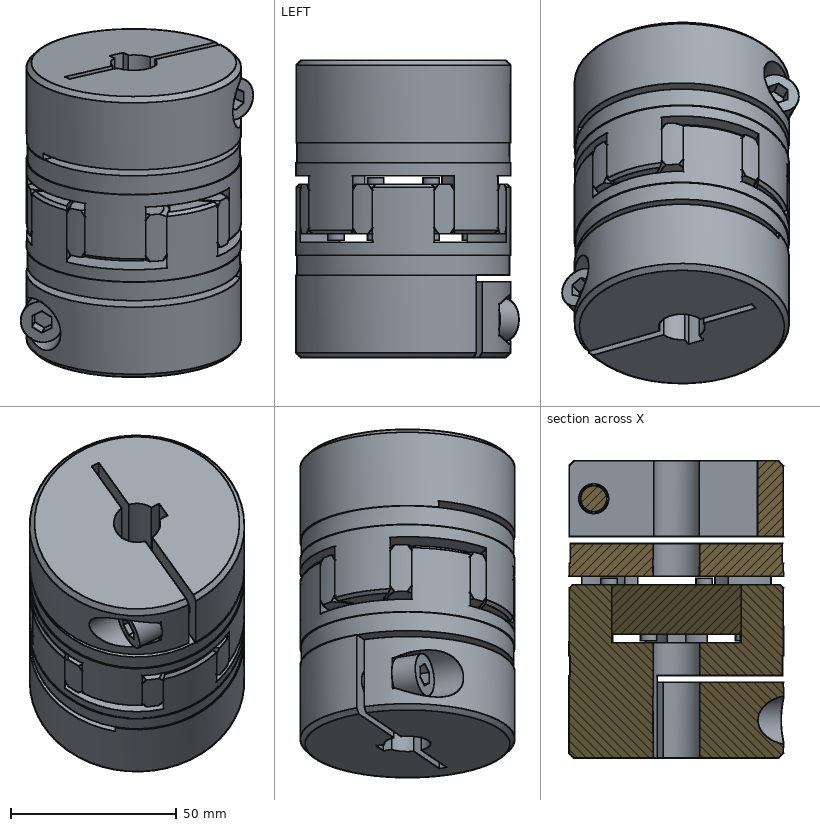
import cadquery as cq
import math


coupling_length = 90.0
outer_diameter = 65.0
waist_diameter = 64.4
bore_diameter = 14.0
end_chamfer = 1.5

clamp_length = 25.0
waist_end = 31.0
hub_body_length = 35.0

jaw_count = 4
jaw_length = 17.5
jaw_inner_diameter = 39.0
jaw_tip_chamfer = 1.0
jaw_hollow_radius = 15.6
jaw_hollow_offset = 26.0

slot_width = 2.5
slot_reach = 24.5
slit_height = 2.0
key_width = 5.0
key_depth = 9.3

screw_offset = 25.0
screw_diameter = 8.0
clearance_diameter = 9.0
head_diameter = 13.0
head_height = 8.0
head_seat = 10.0
counterbore_diameter = 15.0
socket_width = 6.0
socket_depth = 4.6

nub_diameter = 5.0
nub_height = 2.0
nub_offset = 22.0
leg_chamfer_height = 1.8
leg_chamfer_width = 1.0

outer_radius = outer_diameter / 2
middle_height = coupling_length / 2
body_face = coupling_length - hub_body_length
jaw_tip = body_face - jaw_length
slit_floor = coupling_length - clamp_length
screw_height = coupling_length - (clamp_length - slit_height) / 2
leg_count = 2 * jaw_count
leg_pitch = 360 / leg_count
spider_thickness = 2 * (middle_height - jaw_tip)


def cylinder(diameter, bottom, height):
    return cq.Workplane("XY").workplane(offset=bottom).circle(diameter / 2).extrude(height)


def block(x_range, y_range, z_range):
    (x0, x1), (y0, y1), (z0, z1) = x_range, y_range, z_range
    corner = cq.Workplane("XY").transformed(offset=(x0, y0, z0))
    return corner.box(x1 - x0, y1 - y0, z1 - z0, centered=False)


def screw_cylinder(diameter, start, length):
    """Cylinder on the clamp screw's axis, which runs parallel to X."""
    plane = cq.Workplane("YZ", origin=(start, screw_offset, screw_height))
    return plane.circle(diameter / 2).extrude(length)


def hub_body():
    clamp = cylinder(outer_diameter, slit_floor, clamp_length).faces(">Z").chamfer(end_chamfer)
    waist = cylinder(waist_diameter, coupling_length - waist_end, waist_end - clamp_length)
    flange = cylinder(outer_diameter, body_face, hub_body_length - waist_end)
    return clamp.union(waist).union(flange)


def jaw_outlines(bottom, height):
    """Four plain jaws with hollow flanks, centred midway between the X and Y axes."""
    ring = cylinder(outer_diameter, bottom, height).cut(cylinder(jaw_inner_diameter, bottom, height))
    hollows = (
        cq.Workplane("XY")
        .workplane(offset=bottom)
        .polarArray(jaw_hollow_offset, 0, 360, jaw_count)
        .circle(jaw_hollow_radius)
        .extrude(height)
    )
    return ring.cut(hollows)


def jaws():
    """Jaws hanging below the flange, bevelled round the outside of their tips."""
    envelope = cylinder(outer_diameter, jaw_tip, jaw_length).faces("<Z").chamfer(jaw_tip_chamfer)
    return jaw_outlines(jaw_tip, jaw_length).intersect(envelope)


def bore_and_keyway():
    bore = cylinder(bore_diameter, body_face, hub_body_length)
    keyway = block((-key_depth, 0), (-key_width / 2, key_width / 2), (body_face, coupling_length))
    return bore.union(keyway)


def clamp_slots():
    """Axial slot through the bore and a cross slit that frees the +X half of the clamp."""
    axial_slot = block(
        (-slot_width / 2, slot_width / 2), (-slot_reach, outer_radius), (slit_floor, coupling_length)
    )
    cross_slit = block(
        (-slot_width / 2, outer_radius),
        (-outer_radius, outer_radius),
        (slit_floor, slit_floor + slit_height),
    )
    return axial_slot.union(cross_slit)


def screw_hole():
    clearance = screw_cylinder(clearance_diameter, 0, head_seat)
    counterbore = screw_cylinder(counterbore_diameter, head_seat, outer_radius - head_seat)
    return clearance.union(counterbore)


def clamp_screw():
    shank = screw_cylinder(screw_diameter, -slot_width / 2, slot_width / 2 + head_seat)
    head = screw_cylinder(head_diameter, head_seat, head_height)
    socket_corners = socket_width / math.cos(math.pi / 6)
    socket = (
        cq.Workplane("YZ", origin=(head_seat + head_height, screw_offset, screw_height))
        .transformed(rotate=(0, 0, 90))
        .polygon(6, socket_corners)
        .extrude(-socket_depth)
    )
    return shank.union(head).cut(socket)


def build_hub():
    hub = hub_body().union(jaws())
    for removed in (bore_and_keyway(), clamp_slots(), screw_hole()):
        hub = hub.cut(removed)
    return hub.union(clamp_screw())


def flip(upper):
    """Turn an upper hub over so that its jaws fill the gaps of the other hub's jaws."""
    axis_angle = math.radians(180 - leg_pitch / 2)
    start = (0, 0, middle_height)
    end = (math.cos(axis_angle), math.sin(axis_angle), middle_height)
    return upper.rotate(start, end, 180)


def is_leg_flank(edge):
    return edge.geomType() == "CIRCLE" and math.isclose(edge.radius(), jaw_hollow_radius)


def spider_disc():
    """Solid core with eight barrel-shaped legs that fill the gaps between the jaws of both hubs."""
    disc = cylinder(outer_diameter, jaw_tip, spider_thickness)
    upper_jaws = jaw_outlines(jaw_tip, spider_thickness)
    lower_jaws = upper_jaws.rotate((0, 0, 0), (0, 0, 1), leg_pitch)
    disc = disc.cut(upper_jaws).cut(lower_jaws)
    flank_edges = [edge for edge in disc.edges().vals() if is_leg_flank(edge)]
    return disc.newObject(flank_edges).chamfer(leg_chamfer_width, leg_chamfer_height)


def nubs(first_angle, bottom):
    """Spacer nubs on every second leg."""
    plane = cq.Workplane("XY").workplane(offset=bottom)
    places = plane.polarArray(nub_offset, first_angle, 360, leg_count // 2)
    return places.circle(nub_diameter / 2).extrude(nub_height)


def build_spider():
    lower_nubs = nubs(leg_pitch / 2, jaw_tip - nub_height)
    upper_nubs = nubs(3 * leg_pitch / 2, jaw_tip + spider_thickness)
    return spider_disc().union(lower_nubs).union(upper_nubs)


upper_hub = build_hub()
lower_hub = flip(upper_hub)
spider = build_spider()
result = cq.Compound.makeCompound([upper_hub.val(), lower_hub.val(), spider.val()])